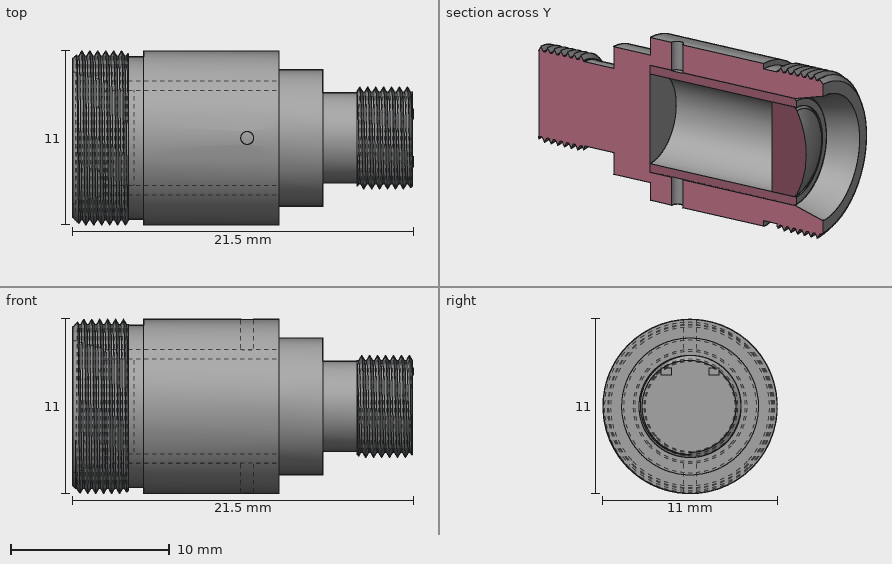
import cadquery as cq
import math


front_thread_end = 3.5
sleeve_start = 4.47
sleeve_end = 13.01
shoulder_end = 15.75
rear_thread_start = 17.93
housing_end = 21.4

sleeve_radius = 5.5
front_neck_radius = 5.13
front_face_radius = 5.0
shoulder_radius = 4.32
rear_neck_radius = 2.85
mouth_radius = 4.19

pitch = 0.5
thread_depth = 0.32
thread_half_width = 0.187
thread_root_overlap = 0.06
thread_end_trim = 0.2
thread_clearance = 0.02
front_crest_radius = sleeve_radius
front_crest_start = -0.3
front_turns = 8.5
rear_crest_radius = 3.22
rear_crest_start = 17.71
rear_turns = 7.5

nub_end = 21.47
nub_width = 0.65
nub_height = 0.43
nub_y = 1.5
nub_z = 2.21

screw_hole_radius = 0.4
screw_hole_x = 11.0

barrel_front = 2.02
barrel_end = sleeve_end
barrel_radius = 3.59
barrel_chamfer = 0.1
mouth_depth = barrel_front + barrel_chamfer

lens_radius = 3.0
lens_chamfer = 0.17
lens_dome_radius = lens_radius - lens_chamfer
lens_apex = 1.27
lens_rim = 1.98
lens_back = 3.86


def revolved(profile):
    """Turn a closed (x, radius) profile around the X axis."""
    return profile.close().revolve(360, (0, 0, 0), (1, 0, 0))


def thread_ridge(crest_radius, crest_start, turns):
    """Helical ridge of triangular section; its crest starts on the +Z side at X = crest_start."""
    base_radius = crest_radius - thread_depth - thread_root_overlap
    base_half_width = thread_half_width * (thread_depth + thread_root_overlap) / thread_depth
    section = (
        cq.Workplane("XZ")
        .moveTo(base_radius, -base_half_width)
        .lineTo(crest_radius, 0)
        .lineTo(base_radius, base_half_width)
        .close()
    )
    path = cq.Wire.makeHelix(pitch, turns * pitch, crest_radius)
    ridge = section.sweep(cq.Workplane(obj=path), isFrenet=True)
    return (
        ridge.rotate((0, 0, 0), (0, 1, 0), 90)
        .rotate((0, 0, 0), (1, 0, 0), 180)
        .translate((crest_start, 0, 0))
    )


def cylinder(start, end, radius):
    """Cylinder along X."""
    return cq.Workplane("YZ", origin=(start, 0, 0)).circle(radius).extrude(end - start)


def threaded_end(start, end, crest_radius, start_radius, end_radius, crest_start, turns):
    """Threaded cylinder from start to end, with 45 degree chamfers down to the two end radii."""
    outer_radius = crest_radius + thread_clearance
    envelope = revolved(
        cq.Workplane("XZ")
        .moveTo(start, 0)
        .lineTo(start, start_radius)
        .lineTo(start + outer_radius - start_radius, outer_radius)
        .lineTo(end - outer_radius + end_radius, outer_radius)
        .lineTo(end, end_radius)
        .lineTo(end, 0)
    )
    core = cylinder(start, end, crest_radius - thread_depth).intersect(envelope)
    ridge = thread_ridge(crest_radius, crest_start, turns)
    return core.union(ridge.intersect(envelope))


def make_housing():
    plain_body = revolved(
        cq.Workplane("XZ")
        .moveTo(front_thread_end, 0)
        .lineTo(front_thread_end, front_neck_radius)
        .lineTo(sleeve_start, front_neck_radius)
        .lineTo(sleeve_start, sleeve_radius)
        .lineTo(sleeve_end, sleeve_radius)
        .lineTo(sleeve_end, shoulder_radius)
        .lineTo(shoulder_end, shoulder_radius)
        .lineTo(shoulder_end, rear_neck_radius)
        .lineTo(rear_thread_start, rear_neck_radius)
        .lineTo(rear_thread_start, 0)
    )
    front_end = threaded_end(
        0,
        front_thread_end,
        front_crest_radius,
        front_face_radius,
        front_crest_radius - thread_end_trim,
        front_crest_start,
        front_turns,
    )
    rear_end = threaded_end(
        rear_thread_start,
        housing_end,
        rear_crest_radius,
        rear_crest_radius - thread_end_trim,
        rear_crest_radius - thread_end_trim,
        rear_crest_start,
        rear_turns,
    )
    bore = revolved(
        cq.Workplane("XZ")
        .lineTo(0, mouth_radius)
        .lineTo(mouth_depth, barrel_radius)
        .lineTo(barrel_end, barrel_radius)
        .lineTo(barrel_end, 0)
    )
    screw_holes = (
        cq.Workplane("XY", origin=(screw_hole_x, 0, 0))
        .circle(screw_hole_radius)
        .extrude(2 * sleeve_radius, both=True)
    )
    nubs = (
        cq.Workplane("YZ", origin=(housing_end, 0, 0))
        .pushPoints([(-nub_y, nub_z), (nub_y, nub_z)])
        .rect(nub_width, nub_height)
        .extrude(nub_end - housing_end)
    )
    return plain_body.union(front_end).union(rear_end).union(nubs).cut(bore).cut(screw_holes)


def make_barrel():
    return revolved(
        cq.Workplane("XZ")
        .moveTo(barrel_front, lens_radius)
        .lineTo(barrel_front, barrel_radius - barrel_chamfer)
        .lineTo(barrel_front + barrel_chamfer, barrel_radius)
        .lineTo(barrel_end, barrel_radius)
        .lineTo(barrel_end, lens_radius)
    )


def make_lens():
    sag = lens_rim - lens_apex
    curvature_radius = (lens_dome_radius**2 + sag**2) / (2 * sag)
    half_sag = curvature_radius - math.sqrt(curvature_radius**2 - (lens_dome_radius / 2) ** 2)
    return revolved(
        cq.Workplane("XZ")
        .moveTo(lens_apex, 0)
        .threePointArc((lens_apex + half_sag, lens_dome_radius / 2), (lens_rim, lens_dome_radius))
        .lineTo(lens_rim + lens_chamfer, lens_radius)
        .lineTo(lens_back, lens_radius)
        .lineTo(lens_back, 0)
    )


housing = make_housing()
barrel = make_barrel()
lens = make_lens()

result = cq.Compound.makeCompound([housing.solids().val(), barrel.val(), lens.val()])